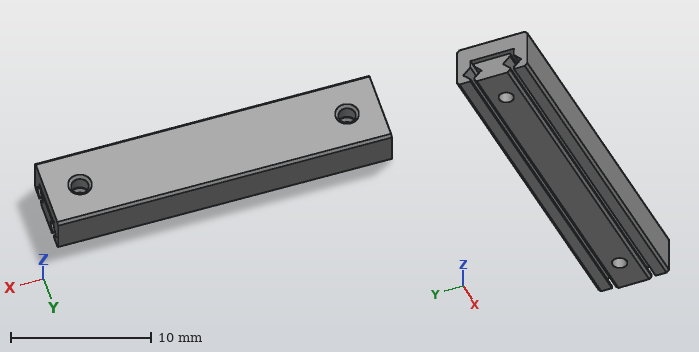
import cadquery as cq

length = 25.0
total_height = 3.35
edge_chamfer = 0.2
countersink_depth = 0.22
groove_depth = 0.55
groove_z = 0.9
hole_spacing = 20.0
hole_centers = [(-hole_spacing / 2, 0), (hole_spacing / 2, 0)]

carriage_width = 5.5
carriage_bottom = 0.15
channel_top = 2.05
carriage_hole_diameter = 1.25

rail_width = 2.8
rail_top = 1.7
rail_hole_diameter = 1.1
side_gap = 0.3
channel_width = rail_width + 2 * side_gap


def extrude_along_x(half_outline):
    """Mirror a half outline of (y, z) points about Y = 0 and extrude it over the full length."""
    other_half = [(-y, z) for y, z in reversed(half_outline)]
    return (
        cq.Workplane("YZ")
        .polyline(half_outline + other_half)
        .close()
        .extrude(length / 2, both=True)
    )


def v_groove(wall_y, apex_y):
    """Outline points of a side V-groove, from its lower edge to its upper edge."""
    return [
        (wall_y, groove_z - groove_depth),
        (apex_y, groove_z),
        (wall_y, groove_z + groove_depth),
    ]


def drill_countersunk(body, diameter, top):
    """Cut the pair of vertical through holes, each with a 45 degree countersink at the body's top."""
    radius = diameter / 2
    for x, y in hole_centers:
        bore = cq.Workplane("XY").center(x, y).circle(radius).extrude(top)
        cone = cq.Solid.makeCone(
            radius + countersink_depth,
            radius,
            countersink_depth,
            pnt=cq.Vector(x, y, top),
            dir=cq.Vector(0, 0, -1),
        )
        body = body.cut(bore).cut(cq.Workplane(obj=cone))
    return body


def make_carriage():
    outer_y = carriage_width / 2
    wall_y = channel_width / 2
    half_outline = [
        (outer_y - edge_chamfer, total_height),
        (outer_y, total_height - edge_chamfer),
        (outer_y, carriage_bottom + edge_chamfer),
        (outer_y - edge_chamfer, carriage_bottom),
        (wall_y, carriage_bottom),
        *v_groove(wall_y, wall_y + groove_depth),
        (wall_y, channel_top),
    ]
    return drill_countersunk(extrude_along_x(half_outline), carriage_hole_diameter, total_height)


def make_rail():
    wall_y = rail_width / 2
    half_outline = [
        (wall_y - edge_chamfer, 0),
        (wall_y, edge_chamfer),
        *v_groove(wall_y, wall_y - groove_depth),
        (wall_y, rail_top),
    ]
    return drill_countersunk(extrude_along_x(half_outline), rail_hole_diameter, rail_top)


carriage = make_carriage()
rail = make_rail()

result = cq.Compound.makeCompound([carriage.val(), rail.val()])